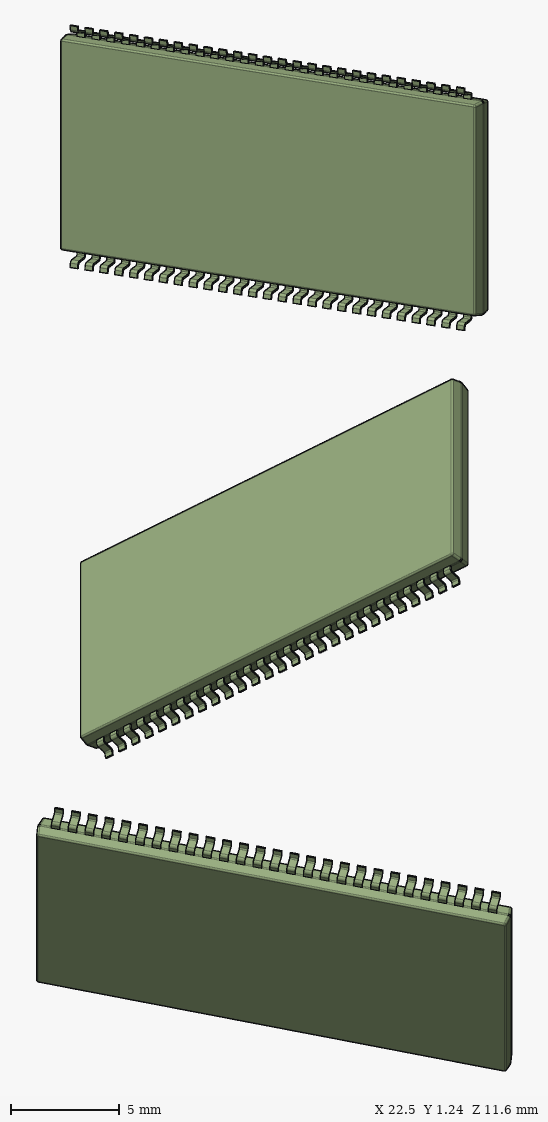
import cadquery as cq
import math

body_length = 22.5
overall_height = 11.59
overall_depth = 1.24

body_height = 10.24
back_depth = 0.56
standoff = 0.07
front_depth = overall_depth - back_depth - standoff
draft_angle = 9.0
corner_radius = 0.11
rim_radius = 0.1
parting_band = 0.1

leads_per_side = 27
lead_row_span = 20.8
lead_pitch = lead_row_span / (leads_per_side - 1)
lead_width = 0.4
lead_thickness = 0.1
bend_radius = 0.11
foot_length = 0.214
web_heading = 170.0
foot_heading = 100.0
root_heading = 90.0
lead_embedment = 0.22


def body_half(direction, start, depth):
    """Drafted half of the body, growing outwards from the parting band along +Y or -Y."""
    plane = cq.Plane(origin=(0, direction * start, 0), xDir=(1, 0, 0), normal=(0, direction, 0))
    half = cq.Workplane(plane).rect(body_length, body_height).extrude(depth - start, taper=draft_angle)
    half = half.edges("not(|X or |Z)").fillet(corner_radius)
    outer_face = ">Y" if direction > 0 else "<Y"
    return half.faces(outer_face).edges().fillet(rim_radius)


def moulded_body():
    """Two drafted halves either side of a straight band at the parting plane."""
    half_band = parting_band / 2
    band = cq.Workplane("XZ").rect(body_length, body_height).extrude(half_band, both=True)
    band = band.edges("|Y").fillet(corner_radius)
    back_half = body_half(1, half_band, back_depth)
    front_half = body_half(-1, half_band, front_depth)
    return band.union(back_half).union(front_half)


def heading_vector(heading):
    """Unit (y, z) vector at a heading measured from +Y towards +Z."""
    angle = math.radians(heading)
    return math.cos(angle), math.sin(angle)


def bend_shift(heading_in, heading_out):
    """(y, z) travel along a centreline bend between two headings."""
    turn = math.radians(abs(heading_out - heading_in))
    chord = 2 * bend_radius * math.sin(turn / 2)
    y, z = heading_vector((heading_in + heading_out) / 2)
    return chord * y, chord * z


def upper_lead():
    """Lead at X = 0 on the +Z edge: straight root, web towards -Y, tilted foot."""
    foot_dir = heading_vector(foot_heading)
    web_dir = heading_vector(web_heading)
    root_bend = bend_shift(root_heading, web_heading)
    foot_bend = bend_shift(web_heading, foot_heading)

    half_thickness = lead_thickness / 2
    tip = (
        -(front_depth + standoff) + half_thickness * foot_dir[1],
        overall_height / 2 + half_thickness * foot_dir[0],
    )
    foot_start = (tip[0] - foot_length * foot_dir[0], tip[1] - foot_length * foot_dir[1])
    web_end = (foot_start[0] - foot_bend[0], foot_start[1] - foot_bend[1])
    web_length = (web_end[0] - root_bend[0]) / web_dir[0]
    web_start = (root_bend[0], web_end[1] - web_length * web_dir[1])
    root_end = (0, web_start[1] - root_bend[1])
    root_start = (0, body_height / 2 - lead_embedment)

    path = (
        cq.Workplane("YZ")
        .moveTo(*root_start)
        .lineTo(*root_end)
        .tangentArcPoint(web_start, relative=False)
        .lineTo(*web_end)
        .tangentArcPoint(foot_start, relative=False)
        .lineTo(*tip)
    )
    section = cq.Workplane("XY", origin=(0, 0, root_start[1])).rect(lead_width, lead_thickness)
    return section.sweep(path)


def lead_rows():
    """Every lead of both rows, as a list of solids."""
    top_lead = upper_lead()
    bottom_lead = top_lead.mirror("XY")
    leads = []
    for index in range(leads_per_side):
        x = index * lead_pitch - lead_row_span / 2
        for lead in (top_lead, bottom_lead):
            leads.append(lead.translate((x, 0, 0)).val())
    return leads


result = cq.Workplane(moulded_body().val().fuse(*lead_rows()).Solids()[0])